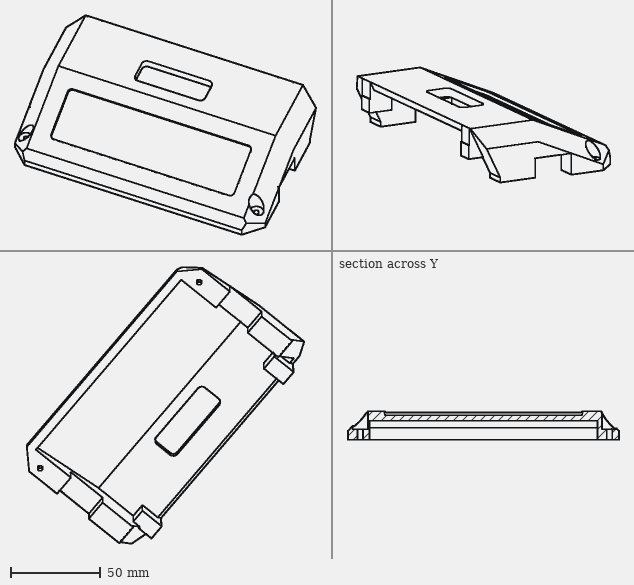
import cadquery as cq
import math

WIDTH = 151.9
HEIGHT = 31.9
TOP_REAR_Y = 89.5
RIDGE_Y = 49.5

NOSE_FLAT_Z = 4.1
NOSE_TOP_Y = 3
NOSE_TOP_Z = 11.4

FRONT_FOOT_END_Y = 30.4
REAR_FOOT_FRONT_Y = 53.5
REAR_FOOT_BACK_Y = 75.8
REAR_FOOT_Z = 1.2
REAR_FOOT_TOP_Z = 4.1
GAP_TOP_Z = 12.5

SIDE_BEVEL = 10.0
CORNER_BEVEL = 10.0

WALL = 5.0
SIDE_WALL = 12.2

OVERRUN = 1.5

PANEL_WIDTH = 111.2
PANEL_FRONT_Y = 12.0
PANEL_REAR_Y = 40.3
PANEL_DEPTH = 2.0
PANEL_RADIUS = 2.5

WINDOW_LENGTH = 42.4
WINDOW_DEPTH = 15.3
WINDOW_X = -2.3
WINDOW_Y = 64.4
WINDOW_RADIUS = 2.9

SCREWS = [(-70.6, 8.2), (69.1, 8.5)]
SCREW_Y = 13.7
SCREW_DIAMETER = 2.9
SCREW_FLOOR_Z = 6

TAB_CENTRES_X = [-60.3, 55.6]
TAB_WIDTH = 9.1
TAB_BOTTOM_Z = 14.0
TAB_STEP_Z = 22.0
TAB_REAR_Y = 89.9
TAB_FRONT_Y = REAR_FOOT_BACK_Y

slope_rise = (HEIGHT - NOSE_TOP_Z) / (RIDGE_Y - NOSE_TOP_Y)
slope_angle = math.atan(slope_rise)


def slope_z(y):
    """Height of the sloping front face at depth y."""
    return HEIGHT + (y - RIDGE_Y) * slope_rise


def extrude_across(points, width):
    """Extrude a (y, z) outline symmetrically along X."""
    return cq.Workplane("YZ").polyline(points).close().extrude(width / 2, both=True)


def make_outer():
    """Bevelled roof blank trimmed to the side outline, with cut front corners."""
    blank_front = -2 * SIDE_BEVEL
    blank_rear = TOP_REAR_Y + OVERRUN
    blank_bottom = slope_z(blank_front) - 2 * SIDE_BEVEL
    blank = extrude_across([
        (blank_front, blank_bottom),
        (blank_front, slope_z(blank_front)),
        (RIDGE_Y, HEIGHT),
        (blank_rear, HEIGHT),
        (blank_rear, blank_bottom),
    ], WIDTH)
    roof_side_edges = []
    for side in ("<X", ">X"):
        for edge in blank.faces(side).edges().vals():
            is_above_bottom = edge.Center().z > slope_z(0)
            is_vertical = edge.BoundingBox().ylen < OVERRUN
            if is_above_bottom and not is_vertical:
                roof_side_edges.append(edge)
    blank = blank.newObject(roof_side_edges).chamfer(SIDE_BEVEL)

    outline = extrude_across([
        (0, 0),
        (0, NOSE_FLAT_Z),
        (NOSE_TOP_Y, NOSE_TOP_Z),
        (RIDGE_Y, HEIGHT),
        (TOP_REAR_Y, HEIGHT),
        (REAR_FOOT_BACK_Y, REAR_FOOT_TOP_Z),
        (REAR_FOOT_BACK_Y, REAR_FOOT_Z),
        (REAR_FOOT_FRONT_Y, REAR_FOOT_Z),
        (REAR_FOOT_FRONT_Y, GAP_TOP_Z),
        (FRONT_FOOT_END_Y, GAP_TOP_Z),
        (FRONT_FOOT_END_Y, 0),
    ], WIDTH)
    half = WIDTH / 2
    plan = (
        cq.Workplane("XY")
        .polyline([
            (-half, TOP_REAR_Y),
            (-half, CORNER_BEVEL),
            (-half + CORNER_BEVEL, 0),
            (half - CORNER_BEVEL, 0),
            (half, CORNER_BEVEL),
            (half, TOP_REAR_Y),
        ])
        .close()
        .extrude(HEIGHT)
    )
    return outline.intersect(blank).intersect(plan)


def make_cavity():
    """Space under the roof, keeping an even wall below the top and the slope."""
    vertical_wall = WALL / math.cos(slope_angle)
    ceiling = HEIGHT - WALL
    ceiling_front_y = RIDGE_Y + (vertical_wall - WALL) / slope_rise
    return extrude_across([
        (WALL, -OVERRUN),
        (WALL, slope_z(WALL) - vertical_wall),
        (ceiling_front_y, ceiling),
        (TOP_REAR_Y + OVERRUN, ceiling),
        (TOP_REAR_Y + OVERRUN, -OVERRUN),
    ], WIDTH - 2 * SIDE_WALL)


def make_tab(centre_x):
    """Stepped rear tab hanging from the top plate."""
    return (
        cq.Workplane("YZ")
        .polyline([
            (TAB_FRONT_Y, TAB_BOTTOM_Z),
            (TAB_REAR_Y, TAB_BOTTOM_Z),
            (TAB_REAR_Y, TAB_STEP_Z),
            (TOP_REAR_Y, TAB_STEP_Z),
            (TOP_REAR_Y, HEIGHT),
            (TAB_FRONT_Y, HEIGHT),
        ])
        .close()
        .extrude(TAB_WIDTH / 2, both=True)
        .translate((centre_x, 0, 0))
    )


def make_panel_recess():
    """Rounded shallow recess square to the sloping face."""
    middle_y = (PANEL_FRONT_Y + PANEL_REAR_Y) / 2
    length = (PANEL_REAR_Y - PANEL_FRONT_Y) / math.cos(slope_angle)
    normal = (0, -math.sin(slope_angle), math.cos(slope_angle))
    slope_plane = cq.Plane(
        origin=(0, middle_y, slope_z(middle_y)),
        xDir=(1, 0, 0),
        normal=normal,
    )
    return (
        cq.Workplane(slope_plane)
        .rect(PANEL_WIDTH, length)
        .extrude(-PANEL_DEPTH)
        .edges(cq.selectors.ParallelDirSelector(cq.Vector(*normal)))
        .fillet(PANEL_RADIUS)
    )


def make_window():
    """Rounded opening through the top plate."""
    return (
        cq.Workplane("XY")
        .center(WINDOW_X, WINDOW_Y)
        .rect(WINDOW_LENGTH, WINDOW_DEPTH)
        .extrude(HEIGHT)
        .edges("|Z")
        .fillet(WINDOW_RADIUS)
    )


def make_screw_hole(x, bore_diameter):
    """Vertical through hole with a flat-bottomed counterbore."""
    hole = cq.Workplane("XY").center(x, SCREW_Y).circle(SCREW_DIAMETER / 2).extrude(HEIGHT)
    bore = (
        cq.Workplane("XY", origin=(x, SCREW_Y, SCREW_FLOOR_Z))
        .circle(bore_diameter / 2)
        .extrude(HEIGHT)
    )
    return hole.union(bore)


result = make_outer().cut(make_cavity())
for tab_x in TAB_CENTRES_X:
    result = result.union(make_tab(tab_x))
result = result.cut(make_panel_recess()).cut(make_window())
for screw_x, screw_bore in SCREWS:
    result = result.cut(make_screw_hole(screw_x, screw_bore))